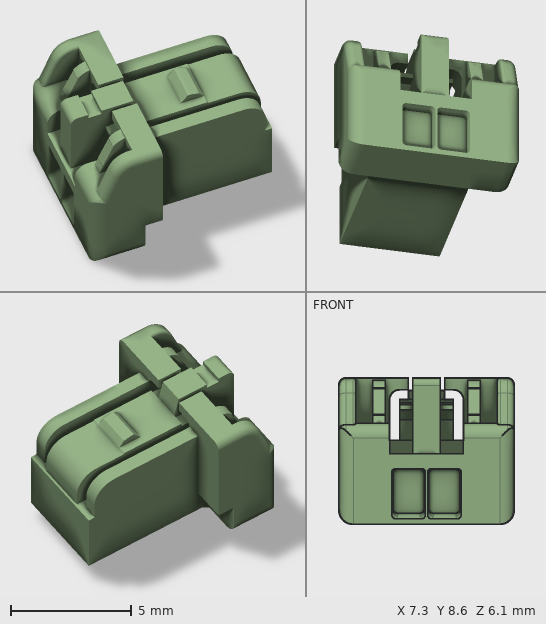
import cadquery as cq
import math


length = 8.6
head_width = 7.3
head_half = head_width / 2
height = 6.1

head_depth = 3.1
head_foot_depth = 2.305
head_step_z = 1.71
corner_r = 0.6
cheek_outer_r = 0.3
cheek_inner_r = 0.12
cheek_inner_x = 2.94
lip_inner_x = head_half - corner_r
cheek_arc_r = 1.0
cheek_slope_angle = 68.0
cheek_arc_start_y = 1.82
rim_margin = 0.09
shelf_z = 4.2
wing_front_y = 1.97
wing_gap_half = 0.76
window_half = 1.53
window_top_z = 5.59
window_r = 0.4

body_half = 2.13
body_bottom_z = 0.65
body_top_z = 5.3
channel_z = 3.51
rail_rear_y = 8.31
body_round_r = 1.0
gusset_run = 0.59
gusset_drop = 0.35

floor_z = 2.94
ramp_start_y = 1.9

tongue_half = 1.12
tongue_rear_y = 8.5
tongue_rear_z = 5.14
tongue_top_z = 5.2
tongue_front_y = 3.22
tongue_step_y = 6.16
tongue_foot_y = 2.49
ledge_front_y = 1.755
ledge_rear_z = 5.065
ledge_front_z = 4.97
ledge_lip = 0.21
ledge_under_rise = 0.42
ledge_under_run = 0.24
tooth_start_y = 6.1
tooth_shoulder = (5.88, 5.49)
tooth_rear_peak_y = 5.52
tooth_front_peak_y = 5.375
tooth_top_z = 5.57
tooth_end_y = 5.04
arm_half = 1.16 / 2
arm_front_y = 0.2
arm_rear_y = 3.0
arm_r = 0.32
notch_front_y = 0.98
notch_rear_y = 1.57
notch_depth = 0.21

rib_inner_x = 1.71
rib_width = 0.52
rib_top_z = 5.99
rib_shoulder = (1.43, 5.685)
rib_knee = (0.955, 4.58)
rib_toe_y = 0.8
rib_nick = 0.05
rib_root = 0.09
rib_crown_rise = 0.02

pocket_pitch = 1.49
pocket_width = 1.4
pocket_bottom_z = 0.23
pocket_top_z = 2.32
pocket_depth = 0.5
pocket_flare_depth = 0.22
pocket_side_draft = 0.06
pocket_top_draft = 0.035
pocket_bottom_draft = 0.23
pocket_r = 0.17


def slab(sketch, x_from, x_to):
    """Extrude a closed Y-Z outline from x_from to x_to."""
    return sketch.extrude(x_to - x_from).translate((x_from, 0, 0))


def outline(y, z):
    """Start a Y-Z outline at a point."""
    return cq.Workplane("YZ").moveTo(y, z)


def block(x_from, x_to, y_from, y_to, z_from, z_to):
    """Box between the given limits."""
    box = cq.Workplane("XY").box(x_to - x_from, y_to - y_from, z_to - z_from, centered=False)
    return box.translate((x_from, y_from, z_from))


def both_sides(solid):
    """Join a solid with its mirror image across the middle of the part."""
    return solid.union(solid.mirror("YZ"))


def head_block():
    """Lower head with its shelf rounded over into the mating face."""
    profile = (
        outline(0, 0)
        .lineTo(head_foot_depth, 0)
        .lineTo(head_foot_depth, head_step_z)
        .lineTo(head_depth, head_step_z)
        .lineTo(head_depth, shelf_z)
        .lineTo(corner_r, shelf_z)
        .tangentArcPoint((0, shelf_z - corner_r), relative=False)
        .close()
    )
    return slab(profile, -lip_inner_x, lip_inner_x)


def slope_meets_shelf_round(y, z, angle):
    """Point where the slope through (y, z) runs into the shelf's rounded front edge."""
    away_y = y - corner_r
    away_z = z - (shelf_z - corner_r)
    toward = away_y * math.cos(angle) + away_z * math.sin(angle)
    travel = toward - math.sqrt(toward**2 - away_y**2 - away_z**2 + corner_r**2)
    return y - travel * math.cos(angle), z - travel * math.sin(angle)


def cheek():
    """Side wall with a sloping, rounded front edge."""
    angle = math.radians(cheek_slope_angle)
    arc_end_y = cheek_arc_start_y - cheek_arc_r * math.sin(angle)
    arc_end_z = height - cheek_arc_r * (1 - math.cos(angle))
    nose_y, nose_z = slope_meets_shelf_round(arc_end_y, arc_end_z, angle)
    nose_mid = math.asin((nose_z - shelf_z + corner_r) / corner_r) / 2
    nose_mid_y = corner_r * (1 - math.cos(nose_mid))
    nose_mid_z = shelf_z - corner_r * (1 - math.sin(nose_mid))
    profile = (
        outline(head_depth, height)
        .lineTo(cheek_arc_start_y, height)
        .tangentArcPoint((arc_end_y, arc_end_z), relative=False)
        .lineTo(nose_y, nose_z)
        .threePointArc((nose_mid_y, nose_mid_z), (0, shelf_z - corner_r))
        .lineTo(0, 0)
        .lineTo(head_foot_depth, 0)
        .lineTo(head_foot_depth, head_step_z)
        .lineTo(head_depth, head_step_z)
        .close()
    )
    wall = slab(profile, cheek_inner_x, head_half)
    for face, lowest_z, radius in (
        (">X", shelf_z - corner_r - rim_margin, cheek_outer_r),
        ("<X", nose_z, cheek_inner_r),
    ):
        front_rim = cq.selectors.BoxSelector(
            (0, -rim_margin, lowest_z),
            (head_width, head_depth - rim_margin, height + rim_margin),
        )
        wall = wall.faces(face).edges(front_rim).fillet(radius)
    return wall


def wing():
    """Upright plate behind the shelf, from the cheek to the gap around the latch arm."""
    outer_x = head_half - cheek_outer_r
    post = block(window_half, outer_x, wing_front_y, head_depth, shelf_z, height)
    bridge = block(wing_gap_half, window_half, wing_front_y, head_depth, window_top_z, height)
    round_x = window_half - window_r
    round_z = window_top_z - window_r
    fill = block(round_x, window_half, wing_front_y, head_depth, round_z, window_top_z)
    round_cut = (
        cq.Workplane("XZ", origin=(round_x, 0, round_z))
        .circle(window_r)
        .extrude(-length)
    )
    return post.union(bridge).union(fill.cut(round_cut))


def rib():
    """Leaning rib from the wing down to the shelf, with a small nick at each end of its slope."""
    shoulder_y, shoulder_z = rib_shoulder
    knee_y, knee_z = rib_knee
    profile = (
        outline(wing_front_y + rib_root, rib_top_z + rib_crown_rise)
        .lineTo(wing_front_y, rib_top_z)
        .tangentArcPoint(rib_shoulder, relative=False)
        .lineTo(shoulder_y, shoulder_z - rib_nick)
        .lineTo(knee_y, knee_z)
        .lineTo(knee_y, knee_z - rib_nick)
        .lineTo(rib_toe_y, shelf_z)
        .lineTo(wing_front_y + rib_root, shelf_z)
        .close()
    )
    return slab(profile, rib_inner_x, rib_inner_x + rib_width)


def head():
    solid = head_block().union(both_sides(cheek()))
    envelope = block(-head_half, head_half, 0, head_depth, 0, height)
    for corner_edges in ("|Z and <Y", "|Y and <Z"):
        solid = solid.intersect(envelope.edges(corner_edges).fillet(corner_r))
    return solid.union(both_sides(wing())).union(both_sides(rib()))


def rounded_bar(half, rear_y, front_y, top_z):
    """Bar standing on the channel floor with a rounded upper rear edge."""
    bar = block(-half, half, front_y, rear_y, channel_z, top_z)
    return bar.edges(">Y and >Z").fillet(body_round_r)


def body():
    """Tail block with a gusset under the head and raised sides for the latch channel."""
    profile = (
        outline(length, channel_z)
        .lineTo(length, body_bottom_z)
        .lineTo(head_foot_depth + gusset_run, body_bottom_z)
        .lineTo(head_foot_depth, body_bottom_z - gusset_drop)
        .lineTo(head_foot_depth, channel_z)
        .close()
    )
    rails = rounded_bar(body_half, rail_rear_y, wing_front_y, body_top_z)
    return slab(profile, -body_half, body_half).union(rails)


def window_cut(top_z):
    """Opening between the rails, dropping down a ramp to the front floor."""
    ramp_end_y = ramp_start_y + channel_z - floor_z
    profile = (
        outline(0, floor_z)
        .lineTo(ramp_start_y, floor_z)
        .lineTo(ramp_end_y, channel_z)
        .lineTo(length, channel_z)
        .lineTo(length, top_z)
        .lineTo(0, top_z)
        .close()
    )
    return slab(profile, -window_half, window_half)


def tongue():
    """Latch tongue in the channel, ending in an overhanging ledge at the front."""
    rear = rounded_bar(tongue_half, tongue_rear_y, tongue_step_y, tongue_rear_z)
    front_profile = (
        outline(tongue_step_y, channel_z)
        .lineTo(tongue_step_y, tongue_rear_z)
        .lineTo(tooth_start_y, tongue_top_z)
        .lineTo(tongue_front_y, tongue_top_z)
        .lineTo(tongue_front_y, ledge_rear_z)
        .lineTo(ledge_front_y, ledge_front_z)
        .lineTo(ledge_front_y, ledge_front_z - ledge_lip)
        .lineTo(tongue_foot_y - ledge_under_run, ledge_front_z - ledge_lip)
        .lineTo(tongue_foot_y, ledge_front_z - ledge_lip - ledge_under_rise)
        .lineTo(tongue_foot_y, channel_z)
        .close()
    )
    return rear.union(slab(front_profile, -tongue_half, tongue_half))


def tooth():
    """Locking tooth on top of the tongue."""
    profile = (
        outline(tongue_step_y, tongue_rear_z)
        .lineTo(*tooth_shoulder)
        .lineTo(tooth_rear_peak_y, tooth_top_z)
        .lineTo(tooth_front_peak_y, tooth_top_z)
        .lineTo(tooth_end_y, tongue_top_z)
        .lineTo(tooth_end_y, tongue_rear_z)
        .close()
    )
    return slab(profile, -wing_gap_half, wing_gap_half)


def arm():
    """Release arm rising from the front floor, with a grip notch in its top."""
    profile = (
        outline(arm_front_y, floor_z)
        .lineTo(arm_front_y, height - arm_r)
        .tangentArcPoint((arm_front_y + arm_r, height), relative=False)
        .lineTo(notch_front_y, height)
        .lineTo(notch_front_y, height - notch_depth)
        .lineTo(notch_rear_y, height - notch_depth)
        .lineTo(notch_rear_y, height)
        .lineTo(arm_rear_y, height)
        .lineTo(tongue_front_y, tongue_top_z)
        .lineTo(tongue_front_y, floor_z)
        .close()
    )
    return slab(profile, -arm_half, arm_half)


def pocket_section(depth, side_draft, top_draft):
    """Rounded rectangle of the pocket at a depth, with the bottom wall rising steadily inwards."""
    bottom_z = pocket_bottom_z + pocket_bottom_draft * depth / pocket_depth
    top_z = pocket_top_z - top_draft
    section = (
        cq.Sketch()
        .rect(pocket_width - 2 * side_draft, top_z - bottom_z)
        .vertices()
        .fillet(pocket_r)
    )
    return section.moved(cq.Location(cq.Vector(0, (top_z + bottom_z) / 2, -depth)))


def pocket(center_x):
    """Pocket flared at its mouth, with straight sides and a rising bottom further in."""
    plane = cq.Workplane("XZ", origin=(center_x, 0, 0))
    mouth = pocket_section(0, 0, 0)
    throat = pocket_section(pocket_flare_depth, pocket_side_draft, pocket_top_draft)
    floor = pocket_section(pocket_depth, pocket_side_draft, pocket_top_draft)
    flare = plane.placeSketch(mouth, throat).loft()
    return flare.union(plane.placeSketch(throat, floor).loft())


opened_head = head().cut(window_cut(window_top_z - window_r))
opened_body = body().cut(window_cut(height))
result = opened_head.union(opened_body)
for feature in (tongue(), tooth(), arm()):
    result = result.union(feature)
for side in (-1, 1):
    result = result.cut(pocket(side * pocket_pitch / 2))